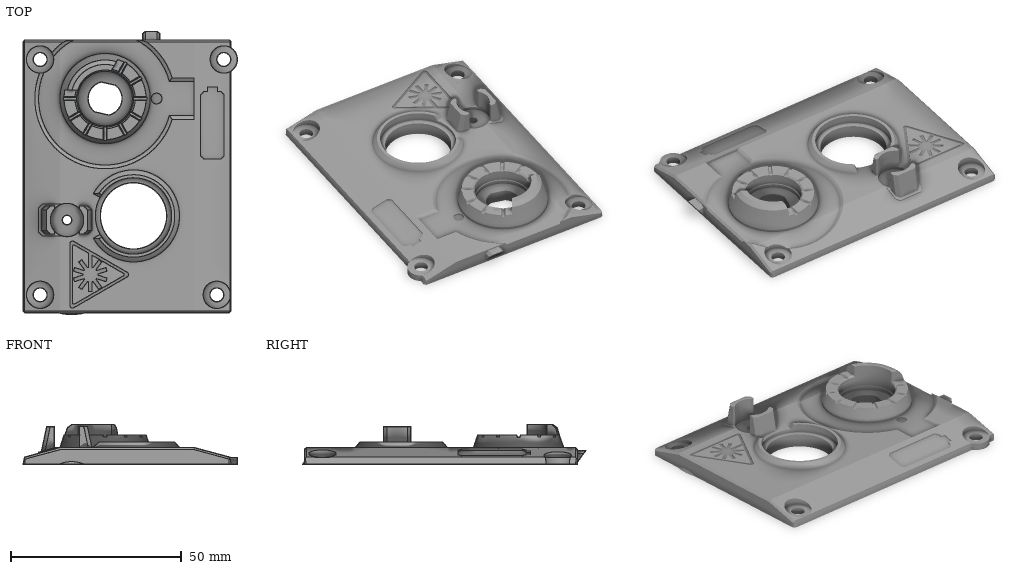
import cadquery as cq
import math

PLATE_WIDTH = 61.0
PLATE_LENGTH = 80.06
PLATE_HEIGHT = 5.0
EDGE_HEIGHT = 2.15
LEFT_BREAK_X = 10.96
RIGHT_BREAK_X = 50.13
EDGE_CHAMFER = 0.6
SIDE_LEAN = 0.4

SCREW_DIAMETER = 4.0
SCREW_SEAT_DIAMETER = 8.0
SCREW_SEAT_HEIGHT = 2.1
EAR_OVERHANG = 1.84
EAR_X = PLATE_WIDTH + EAR_OVERHANG - SCREW_SEAT_DIAMETER / 2
SCREW_FRONT_Y = 5.3
SCREW_BACK_Y = 74.3
SCREW_LEFT_X = 5.0
SCREW_RIGHT_X = 56.8
SCREW_POINTS = [
    (SCREW_LEFT_X, SCREW_FRONT_Y),
    (SCREW_RIGHT_X, SCREW_FRONT_Y),
    (SCREW_LEFT_X, SCREW_BACK_Y),
    (EAR_X, SCREW_BACK_Y),
]

DIAL_X, DIAL_Y = 24.04, 62.84
FIELD_RADIUS = 20.6
FIELD_DEPTH = 0.8
FIELD_WALL = 1.1
TAB_HALF_WIDTH = 6.1
COLLAR_FOOT_DIAMETER = 26.47
COLLAR_LOW_TOP = 8.65
COLLAR_HIGH_TOP = 11.75
COLLAR_DRAFT = 0.33
COLLAR_BORE = 16.75
COLLAR_LOWER_BORE = 16.0
COLLAR_LEDGE_HEIGHT = 5.0
COLLAR_FLOOR_HEIGHT = 3.75
COLLAR_TOP_CHAMFER = 1.0
COLLAR_BORE_BEVEL = 0.45
GUARD_SETBACK = 2.5
GUARD_START_ANGLE = 60
GUARD_END_ANGLE = 180
NOTCH_SPACING = 30
NOTCH_COUNT = 9
NOTCH_TOP_WIDTH = 1.2
NOTCH_BOTTOM_WIDTH = 0.7
NOTCH_DEPTH = 0.6
SHAFT_DIAMETER = 9.9
SHAFT_FLATS = 8.9
SHAFT_FLAT_ANGLE = -13
DOT_DIAMETER = 3.17
DOT_OFFSET = 15.1

PORT_X, PORT_Y = 32.38, 28.43
PORT_BORE = 19.4
PORT_SEAT_DIAMETER = 22.4
PORT_SEAT_HEIGHT = 4.0
PORT_RIM_BASE_RADIUS = 13.5
PORT_RIM_TOP_RADIUS = 12.1
PORT_RIM_TOP = 6.6
PORT_GAP_HALF_ANGLE = 29
PORT_GAP_LEAN = 30

CLIP_X, CLIP_Y = 12.88, 27.22
CLIP_HOLE = 2.7
CLIP_SEAT_RADIUS = 4.9
CLIP_SEAT_HEIGHT = 4.0
POST_TOP = 11.1
POST_WIDTH = 8.1
POST_INNER = 3.7
POST_OUTER_TOP = 6.0
POST_OUTER_BASE = 7.7
POST_CORNER = 1.05
POST_ROOT = 3.0
FOOT_MARGIN = 0.6
FOOT_THICKNESS = 0.35

HOOK_CENTRE_X = 37.58
HOOK_WIDTH = 5.1
HOOK_REACH = 2.5
HOOK_TOP = 4.1
HOOK_ROOT_BOTTOM = 0.7
HOOK_CHAMFER = 0.9
BUMP_X = 14.22
BUMP_HEIGHT = 0.85
BUMP_WIDTH = 7.8
BUMP_REACH = 0.52

ENGRAVE_DEPTH = 0.4
BATTERY_X, BATTERY_Y = 55.5, 55.0
BATTERY_WIDTH, BATTERY_LENGTH = 6.9, 19.9
BATTERY_CORNER = 1.0
BATTERY_CAP_WIDTH, BATTERY_CAP_LENGTH = 3.0, 1.3
SIGN_X, SIGN_Y = 19.7, 11.23
SIGN_SIDE = 20.8
SIGN_BAND = 0.83
SIGN_CORNER = 0.8
SIGN_INNER_CORNER = 0.4
FIRST_RAY_ANGLE = 90
RAY_COUNT = 10
RAY_WIDTH = 1.1
RAY_LENGTH = 5.0
RAY_TO_FRAME = 6.5
SUN_RADIUS = 2.2

CUT_HEIGHT = 20.0
SINK = 0.5


def disc(x, y, radius, bottom, top):
    return cq.Workplane("XY", origin=(x, y, bottom)).circle(radius).extrude(top - bottom)


def cone(x, y, base_radius, top_radius, bottom, top):
    profile = [(0, bottom), (base_radius, bottom), (top_radius, top), (0, top)]
    return (
        cq.Workplane("XZ").polyline(profile).close()
        .revolve(360, (0, 0, 0), (0, 1, 0)).translate((x, y, 0))
    )


def box(x_min, x_max, y_min, y_max, bottom, top):
    return cq.Workplane("XY").box(
        x_max - x_min, y_max - y_min, top - bottom, centered=False
    ).translate((x_min, y_min, bottom))


def sloped_slab(lowering):
    """Plate body with its top surface lowered by a given depth."""
    profile = [
        (0, 0),
        (PLATE_WIDTH, 0),
        (PLATE_WIDTH - SIDE_LEAN, EDGE_HEIGHT - lowering),
        (RIGHT_BREAK_X, PLATE_HEIGHT - lowering),
        (LEFT_BREAK_X, PLATE_HEIGHT - lowering),
        (SIDE_LEAN, EDGE_HEIGHT - lowering),
    ]
    slab = cq.Workplane("XZ").polyline(profile).close().extrude(-PLATE_LENGTH)
    top_rims = cq.selectors.BoxSelector(
        (2 * SIDE_LEAN, -SINK, EDGE_HEIGHT - lowering + SIDE_LEAN),
        (PLATE_WIDTH - 2 * SIDE_LEAN, PLATE_LENGTH + SINK, CUT_HEIGHT),
    )
    return slab.faces("<Y or >Y").edges(top_rims).chamfer(EDGE_CHAMFER)


def above_surface(lowering):
    """Space above the plate's top surface lowered by a given depth."""
    space = box(0, PLATE_WIDTH, 0, PLATE_LENGTH, 0, CUT_HEIGHT)
    return space.cut(sloped_slab(lowering))


def make_plate():
    outline = (
        cq.Workplane("XY").rect(PLATE_WIDTH, PLATE_LENGTH, centered=False)
        .extrude(CUT_HEIGHT).edges("|Z").chamfer(EDGE_CHAMFER)
    )
    return sloped_slab(0).intersect(outline)


def add_screw_seats(body):
    body = body.union(disc(EAR_X, SCREW_BACK_Y, SCREW_SEAT_DIAMETER / 2, 0, SCREW_SEAT_HEIGHT))
    for x, y in SCREW_POINTS:
        body = body.cut(disc(x, y, SCREW_SEAT_DIAMETER / 2, SCREW_SEAT_HEIGHT, CUT_HEIGHT))
        body = body.cut(disc(x, y, SCREW_DIAMETER / 2, 0, CUT_HEIGHT))
    return body


def field_bowl():
    """Dish for the round part of the field, deep enough to take in the chamfered back rim."""
    wall_slope = FIELD_WALL / FIELD_DEPTH
    floor = PLATE_HEIGHT - FIELD_DEPTH
    rise = 2 * FIELD_DEPTH
    floor_radius = FIELD_RADIUS - FIELD_WALL
    dish = cone(DIAL_X, DIAL_Y, floor_radius, floor_radius + rise * wall_slope, floor, floor + rise)
    return dish.union(disc(DIAL_X, DIAL_Y, floor_radius, floor - 2 * EDGE_CHAMFER, floor))


def cut_dial_field(body):
    bowl = field_bowl()
    flat_side = box(LEFT_BREAK_X, RIGHT_BREAK_X, 0, PLATE_LENGTH, 0, CUT_HEIGHT)
    left_side = box(0, LEFT_BREAK_X, 0, PLATE_LENGTH, 0, CUT_HEIGHT)
    slope = (PLATE_HEIGHT - EDGE_HEIGHT) / (LEFT_BREAK_X - SIDE_LEAN)
    shear = cq.Matrix([[1, 0, 0, 0], [0, 1, 0, 0], [slope, 0, 1, -slope * LEFT_BREAK_X]])
    sloped_bowl = cq.Workplane("XY").add(bowl.val().transformGeometry(shear))
    lean = math.degrees(math.atan(FIELD_WALL / FIELD_DEPTH))
    tab = (
        cq.Workplane("XY", origin=(RIGHT_BREAK_X, DIAL_Y, PLATE_HEIGHT))
        .rect(2 * FIELD_RADIUS, 2 * TAB_HALF_WIDTH).extrude(-FIELD_DEPTH, taper=lean)
        .intersect(flat_side)
    )
    floor_space = above_surface(FIELD_DEPTH)
    body = body.cut(bowl.intersect(flat_side).intersect(floor_space))
    body = body.cut(sloped_bowl.intersect(left_side).intersect(floor_space))
    return body.cut(tab)


def past_line(angle, side):
    """Half space beyond a line set back from a notch line."""
    size = 2 * COLLAR_FOOT_DIAMETER
    start = GUARD_SETBACK if side > 0 else -GUARD_SETBACK - size
    half = box(-size, size, start, start + size, 0, CUT_HEIGHT)
    return half.rotate((0, 0, 0), (0, 0, 1), angle).translate((DIAL_X, DIAL_Y, 0))


def collar_blank():
    """Collar at full height all round, with a bevelled outer top edge."""
    foot_radius = COLLAR_FOOT_DIAMETER / 2
    top_radius = foot_radius - COLLAR_DRAFT * (COLLAR_HIGH_TOP - PLATE_HEIGHT)
    wall = cone(DIAL_X, DIAL_Y, foot_radius, top_radius, PLATE_HEIGHT, COLLAR_HIGH_TOP)
    foot = disc(DIAL_X, DIAL_Y, foot_radius, EDGE_HEIGHT, PLATE_HEIGHT)
    return wall.faces(">Z").chamfer(COLLAR_TOP_CHAMFER).union(foot)


def cut_notches(collar):
    bottom = COLLAR_LOW_TOP - NOTCH_DEPTH
    profile = [
        (-NOTCH_BOTTOM_WIDTH / 2, bottom),
        (NOTCH_BOTTOM_WIDTH / 2, bottom),
        (NOTCH_TOP_WIDTH / 2, COLLAR_LOW_TOP),
        (-NOTCH_TOP_WIDTH / 2, COLLAR_LOW_TOP),
    ]
    notch = cq.Workplane("YZ").polyline(profile).close().extrude(COLLAR_FOOT_DIAMETER)
    for index in range(NOTCH_COUNT):
        angle = GUARD_START_ANGLE - index * NOTCH_SPACING
        turned = notch.rotate((0, 0, 0), (0, 0, 1), angle)
        collar = collar.cut(turned.translate((DIAL_X, DIAL_Y, 0)))
    return collar


def add_collar(body):
    guard_zone = past_line(GUARD_START_ANGLE, 1).intersect(past_line(GUARD_END_ANGLE, -1))
    low_zone = disc(DIAL_X, DIAL_Y, COLLAR_FOOT_DIAMETER, COLLAR_LOW_TOP, CUT_HEIGHT).cut(guard_zone)
    bore_radius = COLLAR_BORE / 2
    bevel = cone(
        DIAL_X, DIAL_Y, bore_radius, bore_radius + COLLAR_BORE_BEVEL,
        COLLAR_LOW_TOP - COLLAR_BORE_BEVEL, COLLAR_LOW_TOP,
    ).cut(guard_zone)
    collar = collar_blank().cut(low_zone).cut(bevel)
    body = body.union(cut_notches(collar))
    body = body.cut(disc(DIAL_X, DIAL_Y, bore_radius, COLLAR_LEDGE_HEIGHT, CUT_HEIGHT))
    body = body.cut(disc(DIAL_X, DIAL_Y, COLLAR_LOWER_BORE / 2, COLLAR_FLOOR_HEIGHT, CUT_HEIGHT))
    flats = (
        cq.Workplane("XY").rect(2 * SHAFT_DIAMETER, SHAFT_FLATS).extrude(CUT_HEIGHT)
        .rotate((0, 0, 0), (0, 0, 1), SHAFT_FLAT_ANGLE).translate((DIAL_X, DIAL_Y, 0))
    )
    shaft_hole = disc(DIAL_X, DIAL_Y, SHAFT_DIAMETER / 2, 0, CUT_HEIGHT).intersect(flats)
    return body.cut(shaft_hole)


def cut_dial_dot(body):
    floor = PLATE_HEIGHT - FIELD_DEPTH - ENGRAVE_DEPTH
    return body.cut(disc(DIAL_X + DOT_OFFSET, DIAL_Y, DOT_DIAMETER / 2, floor, CUT_HEIGHT))


def add_port(body):
    rim = cone(
        PORT_X, PORT_Y, PORT_RIM_BASE_RADIUS, PORT_RIM_TOP_RADIUS, PLATE_HEIGHT, PORT_RIM_TOP
    )
    reach = 2 * PORT_RIM_BASE_RADIUS
    half_gap = reach * math.tan(math.radians(PORT_GAP_HALF_ANGLE))
    gap = (
        cq.Workplane("XY", origin=(PORT_X, PORT_Y, PLATE_HEIGHT))
        .polyline([(0, 0), (-reach, half_gap), (-reach, -half_gap)]).close()
        .extrude(PORT_RIM_TOP - PLATE_HEIGHT, taper=-PORT_GAP_LEAN)
    )
    body = body.union(rim.cut(gap))
    body = body.cut(disc(PORT_X, PORT_Y, PORT_SEAT_DIAMETER / 2, PORT_SEAT_HEIGHT, CUT_HEIGHT))
    return body.cut(disc(PORT_X, PORT_Y, PORT_BORE / 2, 0, CUT_HEIGHT))


def make_post():
    """Post on the +X side of the seat axis, leaning in toward its top."""
    profile = [
        (POST_INNER, POST_ROOT),
        (POST_OUTER_BASE, POST_ROOT),
        (POST_OUTER_TOP, POST_TOP),
        (POST_INNER, POST_TOP),
    ]
    post = cq.Workplane("XZ").polyline(profile).close().extrude(POST_WIDTH / 2, both=True)
    corners = post.faces(">X").edges("not |Y")
    return corners.chamfer(POST_CORNER)


def make_foot():
    """Thin pad on the left slope around the root of the left post."""
    half_width = POST_WIDTH / 2 + FOOT_MARGIN
    pad = box(
        CLIP_X - POST_OUTER_BASE - FOOT_MARGIN, LEFT_BREAK_X,
        CLIP_Y - half_width, CLIP_Y + half_width, EDGE_HEIGHT, PLATE_HEIGHT,
    ).edges("|Z and <X").chamfer(POST_CORNER)
    return pad.intersect(sloped_slab(-FOOT_THICKNESS))


def add_clip(body):
    body = body.union(make_foot())
    post = make_post()
    for turn in (0, 180):
        placed = post.rotate((0, 0, 0), (0, 0, 1), turn).translate((CLIP_X, CLIP_Y, 0))
        body = body.union(placed)
    body = body.cut(disc(CLIP_X, CLIP_Y, CLIP_SEAT_RADIUS, CLIP_SEAT_HEIGHT, CUT_HEIGHT))
    return body.cut(disc(CLIP_X, CLIP_Y, CLIP_HOLE / 2, 0, CUT_HEIGHT))


def add_hook(body):
    root = PLATE_LENGTH - EDGE_CHAMFER - SINK
    profile = [
        (root, HOOK_TOP),
        (PLATE_LENGTH + HOOK_REACH, HOOK_TOP),
        (PLATE_LENGTH, HOOK_ROOT_BOTTOM),
        (root, HOOK_ROOT_BOTTOM),
    ]
    wedge = (
        cq.Workplane("YZ", origin=(HOOK_CENTRE_X, 0, 0))
        .polyline(profile).close().extrude(HOOK_WIDTH / 2, both=True)
    )
    bar = box(
        HOOK_CENTRE_X - HOOK_WIDTH / 2, HOOK_CENTRE_X + HOOK_WIDTH / 2,
        root, PLATE_LENGTH + HOOK_REACH, 0, HOOK_TOP,
    ).faces(">Z").edges("|Y").chamfer(HOOK_CHAMFER)
    return body.union(wedge.intersect(bar))


def add_bump(body):
    """Shallow bulge on the front wall: a slice of a wide upright cone."""
    radius = (BUMP_WIDTH ** 2 / 4 + BUMP_REACH ** 2) / (2 * BUMP_REACH)
    bulge = cone(BUMP_X, radius - BUMP_REACH, radius, radius - BUMP_REACH, 0, BUMP_HEIGHT)
    keep = box(BUMP_X - BUMP_WIDTH, BUMP_X + BUMP_WIDTH, -BUMP_REACH, SINK, 0, BUMP_HEIGHT)
    return body.union(bulge.intersect(keep))


def cut_battery_panel(body):
    panel = (
        cq.Workplane("XY", origin=(BATTERY_X, BATTERY_Y, 0))
        .rect(BATTERY_WIDTH, BATTERY_LENGTH).extrude(CUT_HEIGHT)
        .edges("|Z").chamfer(BATTERY_CORNER)
    )
    end = BATTERY_Y + BATTERY_LENGTH / 2
    half_cap = BATTERY_CAP_WIDTH / 2
    cap = box(
        BATTERY_X - half_cap, BATTERY_X + half_cap,
        end - BATTERY_CORNER, end + BATTERY_CAP_LENGTH, 0, CUT_HEIGHT,
    )
    return body.cut(panel.union(cap).intersect(above_surface(ENGRAVE_DEPTH)))


def triangle(circumradius, corner):
    return (
        cq.Workplane("XY", origin=(SIGN_X, SIGN_Y, PLATE_HEIGHT - ENGRAVE_DEPTH))
        .polygon(3, 2 * circumradius).extrude(ENGRAVE_DEPTH).edges("|Z").fillet(corner)
    )


def cut_warning_sign(body):
    floor = PLATE_HEIGHT - ENGRAVE_DEPTH
    circumradius = SIGN_SIDE / math.sqrt(3)
    outer = triangle(circumradius, SIGN_CORNER)
    inner = triangle(circumradius - 2 * SIGN_BAND, SIGN_INNER_CORNER)
    sign = outer.cut(inner)
    sign = sign.union(disc(SIGN_X, SIGN_Y, SUN_RADIUS, floor, PLATE_HEIGHT))
    for index in range(RAY_COUNT):
        length = RAY_TO_FRAME if index == 0 else RAY_LENGTH
        ray = box(0, length, -RAY_WIDTH / 2, RAY_WIDTH / 2, floor, PLATE_HEIGHT)
        turned = ray.rotate((0, 0, 0), (0, 0, 1), FIRST_RAY_ANGLE + index * 360 / RAY_COUNT)
        sign = sign.union(turned.translate((SIGN_X, SIGN_Y, 0)))
    return body.cut(sign)


body = make_plate()
body = cut_dial_field(body)
body = add_screw_seats(body)
body = add_collar(body)
body = cut_dial_dot(body)
body = add_port(body)
body = add_clip(body)
body = add_hook(body)
body = add_bump(body)
body = cut_battery_panel(body)
result = cut_warning_sign(body)